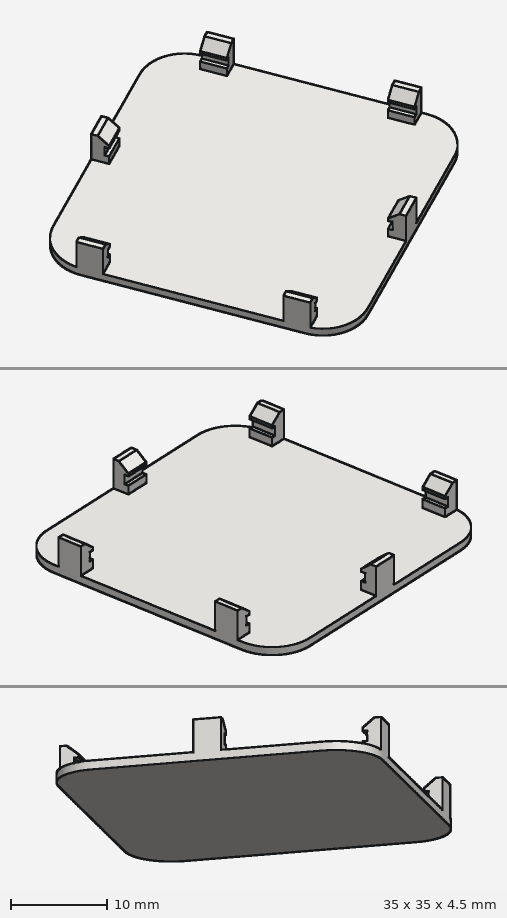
import cadquery as cq

side = 35.0
thickness = 0.98
corner_radius = 5.0
height = 4.5

clip_width = 2.98
clip_depth = 2.0
neck_depth = 1.5
crest_depth = 0.75
ledge_top = 2.03
hook_bottom = 3.15
hook_tip_top = 3.5

front_clip_offset = 11.5
back_clip_offset = 10.43
side_clip_offset = 0.0

half_side = side / 2


def rounded_block(block_height):
    """Block with the plate outline, standing on the underside plane."""
    block = cq.Workplane("XY").rect(side, side).extrude(block_height)
    return block.edges("|Z").fillet(corner_radius)


def front_edge_clip(offset):
    """Hooked clip on the -Y edge, centred at the given X offset."""
    outline = [
        (0, 0),
        (clip_depth, 0),
        (clip_depth, ledge_top),
        (neck_depth, ledge_top),
        (neck_depth, hook_bottom),
        (clip_depth, hook_bottom),
        (clip_depth, hook_tip_top),
        (crest_depth, height),
        (0, height),
    ]
    clip = cq.Workplane("YZ").polyline(outline).close().extrude(clip_width / 2, both=True)
    return clip.translate((offset, -half_side, 0))


def edge_clip(offset, edge_angle):
    """Clip turned about Z from the -Y edge to another edge."""
    return front_edge_clip(offset).rotate((0, 0, 0), (0, 0, 1), edge_angle)


clip_places = [
    (-front_clip_offset, 0),
    (front_clip_offset, 0),
    (-back_clip_offset, 180),
    (back_clip_offset, 180),
    (side_clip_offset, 90),
    (side_clip_offset, -90),
]

envelope = rounded_block(height)
result = rounded_block(thickness)
for offset, edge_angle in clip_places:
    result = result.union(edge_clip(offset, edge_angle).intersect(envelope))